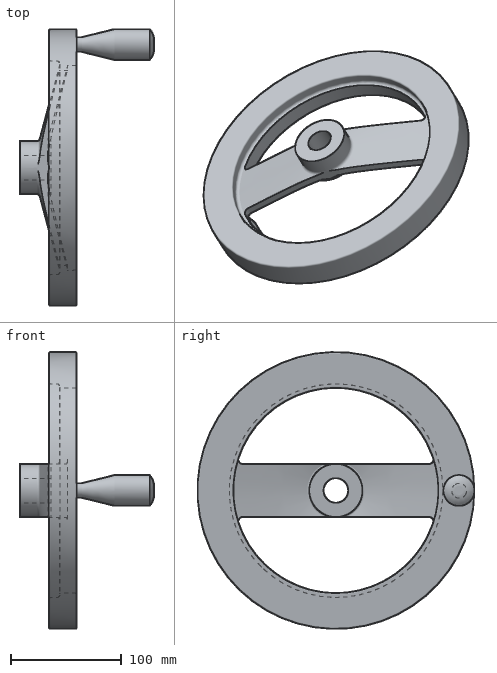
import cadquery as cq
import math


rim_radius = 125.0
rim_start = 26.3
rim_width = 25.0
rim_end = rim_start + rim_width
rim_edge_fillet = 1.5
rim_recess_radius = 192.62 / 2
opening_radius = 185.0 / 2

hub_radius = 24.0
hub_length = 28.0
bore_radius = 11.0
hub_front_fillet = 2.5
hub_rear_fillet = 1.5

spoke_width = 2 * hub_radius
web_front_at_hub = 17.4
web_dish_angle = 15.0
web_slope = math.tan(math.radians(web_dish_angle))
web_thickness = 7.0
web_axial_thickness = web_thickness / math.cos(math.radians(web_dish_angle))
web_rim_fillet = 2.5
opening_corner_radius = 4.0

handle_radius = 14.0
handle_neck_radius = 13.44 / 2
handle_offset = rim_radius - handle_radius
overall_length = 121.24
handle_length = overall_length - rim_end
handle_neck_length = 4.6
handle_taper_length = 29.4
handle_dome_height = 4.2
handle_tip_radius = 4.0


def web_front(radius):
    """X of the front face of the web at a given radius."""
    return web_front_at_hub + web_slope * (radius - hub_radius)


def revolve_about_x(profile):
    """Revolve a profile drawn as (X, radius) around the X axis."""
    return profile.revolve(360, (0, 0, 0), (1, 0, 0))


def fillet_circle(body, x, radius, size):
    """Fillet the circular edge of the given radius at the given X."""
    tolerance = 0.01
    edges = [
        edge
        for edge in body.edges("%CIRCLE").vals()
        if abs(edge.radius() - radius) < tolerance and abs(edge.Center().x - x) < tolerance
    ]
    return body.newObject(edges).fillet(size)


def make_wheel():
    """Hub, dished web and rim as one turned body with its circular edges rounded."""
    web_back_at_hub = web_front_at_hub + web_axial_thickness
    web_back_at_rim = web_front(opening_radius) + web_axial_thickness
    profile = (
        cq.Workplane("XY")
        .moveTo(0, bore_radius)
        .lineTo(0, hub_radius)
        .lineTo(web_front_at_hub, hub_radius)
        .lineTo(web_front(rim_recess_radius), rim_recess_radius)
        .lineTo(rim_start, rim_recess_radius)
        .lineTo(rim_start, rim_radius)
        .lineTo(rim_end, rim_radius)
        .lineTo(rim_end, opening_radius)
        .lineTo(web_back_at_rim, opening_radius)
        .lineTo(web_back_at_hub, hub_radius)
        .lineTo(hub_length, hub_radius)
        .lineTo(hub_length, bore_radius)
        .close()
    )
    wheel = revolve_about_x(profile)
    for x, radius, size in (
        (web_front_at_hub, hub_radius, hub_front_fillet),
        (web_back_at_hub, hub_radius, hub_rear_fillet),
        (web_front(rim_recess_radius), rim_recess_radius, web_rim_fillet),
        (rim_start, rim_recess_radius, rim_edge_fillet),
        (rim_start, rim_radius, rim_edge_fillet),
        (rim_end, rim_radius, rim_edge_fillet),
        (rim_end, opening_radius, rim_edge_fillet),
    ):
        wheel = fillet_circle(wheel, x, radius, size)
    return wheel


def make_openings():
    """Two circular segments, one on each side of the spoke, with rounded corners."""
    disc = cq.Workplane("YZ").circle(opening_radius).extrude(rim_end)
    spoke = cq.Workplane("YZ").rect(2 * rim_radius, spoke_width).extrude(rim_end)
    return disc.cut(spoke).edges("|X").fillet(opening_corner_radius)


def make_handle():
    """Turned handle with a thin neck, a taper, a cylindrical grip and a rounded end with a small flat."""
    root = rim_end - rim_edge_fillet
    neck_end = rim_end + handle_neck_length
    taper_end = neck_end + handle_taper_length
    tip = rim_end + handle_length
    dome_start = tip - handle_dome_height
    profile = (
        cq.Workplane("XY")
        .moveTo(root, 0)
        .lineTo(root, handle_neck_radius)
        .lineTo(neck_end, handle_neck_radius)
        .lineTo(taper_end, handle_radius)
        .lineTo(dome_start, handle_radius)
        .radiusArc((tip, handle_tip_radius), handle_radius)
        .lineTo(tip, 0)
        .close()
    )
    return revolve_about_x(profile).translate((0, handle_offset, 0))


result = make_wheel().cut(make_openings()).union(make_handle())